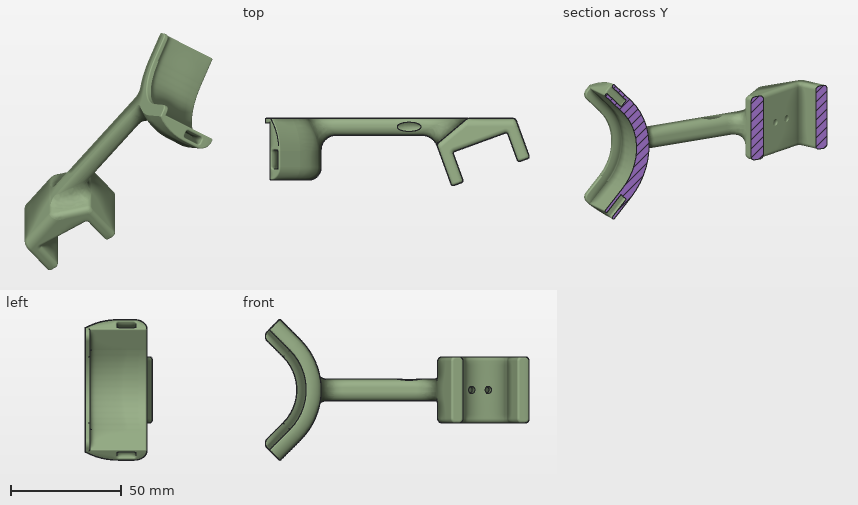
import cadquery as cq
import math


cradle_x = -6.9
cradle_outer_r = 32.2
cradle_inner_r = 25.4
cradle_width = 28.0
cradle_half_angle = 45
leg_length = 13.1
lip_inner_r = 21.1
lip_width = 2.3
lip_end_radius = 3.0
cradle_edge_radius = 0.6
crown_start = 15.0
crown_drop = 5.3
front_corner_radius = 5.8
inner_edge_radius = 0.8

handle_height = 9.9
handle_depth = 7.8
handle_corner_radius = 3.9
handle_back_round = 3.2
handle_embed = 1.2
handle_split_x = 47.7
handle_end_x = 95.5
cradle_flare_radius = 6.6
clamp_flare_radius = 7.3
shoulder_overrun = 9.5

clamp_height = 30.0
clamp_angle = 20
clamp_corner_x = 113.1
clamp_width = 37.6
clamp_arm_thickness = 5.7
clamp_arm_length = 19.1
clamp_floor_depth = 4.8
clamp_near_rise = 1.1
clamp_slope_top_x = 91.5
clamp_back_radius = 3.8
clamp_slope_radius = 2.6
clamp_edge_radius = 1.9
clamp_tip_radius = 1.1
clamp_floor_radius = 1.0

hole_diameter = 3.1
hole_depth = 3.6
hole_spacing = 8.0

leg_pocket_length = 8.5
leg_pocket_width = 3.7
leg_pocket_corner_radius = 1.1
leg_pocket_depth = 10.7
leg_pocket_y = -18.7
pocket_mouth_radius = 0.7
handle_pocket_length = 10.7
handle_pocket_width = 4.3
handle_pocket_x = 65.0
handle_pocket_y = -3.9


def edge_at(body, point):
    """The edge of the body whose middle lies nearest to the point."""
    return body.edges(cq.selectors.NearestToPointSelector(point)).val()


def cradle_section():
    """Band section in the XY plane: X is the distance from the arc axis."""
    crown_radius = (crown_start**2 + crown_drop**2) / (2 * crown_drop)
    mid_y = crown_start / 2
    mid_r = cradle_outer_r - crown_radius + math.sqrt(crown_radius**2 - mid_y**2)
    corner = front_corner_radius
    corner_mid = corner * (1 - math.sqrt(0.5))
    edge = inner_edge_radius
    edge_mid = edge * (1 - math.sqrt(0.5))
    front_y = -cradle_width
    return (
        cq.Workplane("XY")
        .moveTo(lip_inner_r, 0)
        .lineTo(cradle_outer_r - crown_drop, 0)
        .threePointArc((mid_r, mid_y - crown_start), (cradle_outer_r, -crown_start))
        .lineTo(cradle_outer_r, front_y + corner)
        .threePointArc(
            (cradle_outer_r - corner_mid, front_y + corner_mid),
            (cradle_outer_r - corner, front_y),
        )
        .lineTo(cradle_inner_r + edge, front_y)
        .threePointArc(
            (cradle_inner_r + edge_mid, front_y + edge_mid),
            (cradle_inner_r, front_y + edge),
        )
        .lineTo(cradle_inner_r, -lip_width)
        .lineTo(lip_inner_r, -lip_width)
        .close()
    )


def make_leg():
    """Straight leg standing along Z on the band section, with a pocket in its rounded end."""
    leg = cradle_section().extrude(leg_length)
    leg = leg.newObject([edge_at(leg, (lip_inner_r, -lip_width / 2, leg_length))]).fillet(lip_end_radius)
    rounded = [edge_at(leg, (lip_inner_r, y, leg_length / 2)) for y in (0, -lip_width)]
    rounded += leg.faces(">Z").edges().vals()
    leg = leg.newObject(rounded).fillet(cradle_edge_radius)
    mid_r = (cradle_inner_r + cradle_outer_r) / 2
    pocket = (
        cq.Workplane("XY", origin=(mid_r, leg_pocket_y, leg_length))
        .rect(leg_pocket_width, leg_pocket_length)
        .extrude(-leg_pocket_depth)
        .edges("|Z")
        .fillet(leg_pocket_corner_radius)
    )
    leg = leg.cut(pocket)
    mouth = leg.faces(">Z").val().innerWires()[0]
    return leg.newObject(mouth.Edges()).fillet(pocket_mouth_radius)


def make_cradle():
    arc = cradle_section().revolve(2 * cradle_half_angle, (0, 0), (0, 1))
    turn = math.radians(cradle_half_angle)
    lip_x = lip_inner_r * math.cos(turn)
    lip_z = -lip_inner_r * math.sin(turn)
    lip_edges = [edge_at(arc, (lip_x, y, lip_z)) for y in (0, -lip_width)]
    arc = arc.newObject(lip_edges).fillet(cradle_edge_radius)
    arc = arc.rotate((0, 0, 0), (0, 1, 0), -cradle_half_angle)
    leg = make_leg().rotate((0, 0, 0), (0, 1, 0), -cradle_half_angle)
    return arc.union(leg).union(leg.mirror("XY")).translate((cradle_x, 0, 0))


def make_bar(x_start, x_end):
    """Handle bar with four equal rounded corners, still reaching past the flat back."""
    overhang = handle_corner_radius - handle_back_round
    bar = cq.Workplane("XY").box(
        x_end - x_start, handle_depth + overhang, handle_height, centered=(False, False, True)
    )
    return bar.edges("|X").fillet(handle_corner_radius).translate((x_start, -handle_depth, 0))


def trim_back(body):
    """Remove everything behind the plane Y = 0."""
    size = 2 * clamp_corner_x
    return body.cut(cq.Workplane("XY").box(size, size, size).translate((0, size / 2, 0)))


def clamp_point(across, along):
    """Point measured from the clamp's far back corner: across both arms, and along the arms."""
    angle = math.radians(clamp_angle)
    x = clamp_corner_x - across * math.cos(angle) + along * math.sin(angle)
    y = -across * math.sin(angle) - along * math.cos(angle)
    return (x, y)


def fillet_rims(body, sides, radius):
    """Fillet the top and bottom edges over the given sides of the clamp outline."""
    edges = []
    for start, end in sides:
        middle_x = (start[0] + end[0]) / 2
        middle_y = (start[1] + end[1]) / 2
        for z in (-clamp_height / 2, clamp_height / 2):
            edges.append(edge_at(body, (middle_x, middle_y, z)))
    return body.newObject(edges).fillet(radius)


def fillet_upright(body, corner, radius):
    return body.newObject([edge_at(body, corner + (0,))]).fillet(radius)


def make_clamp():
    near_inner = clamp_width - clamp_arm_thickness
    far_heel = clamp_point(0, 0)
    far_tip_outer = clamp_point(0, clamp_arm_length)
    far_tip_inner = clamp_point(clamp_arm_thickness, clamp_arm_length)
    far_root = clamp_point(clamp_arm_thickness, clamp_floor_depth)
    near_root = clamp_point(near_inner, clamp_floor_depth)
    near_tip_inner = clamp_point(near_inner, clamp_arm_length)
    near_tip_outer = clamp_point(clamp_width, clamp_arm_length)
    near_heel = clamp_point(clamp_width, -clamp_near_rise)
    slope_top = (clamp_slope_top_x, 0)
    outline = [
        far_heel, far_tip_outer, far_tip_inner, far_root, near_root,
        near_tip_inner, near_tip_outer, near_heel, slope_top,
    ]
    clamp = cq.Workplane("XY").polyline(outline).close().extrude(clamp_height / 2, both=True)

    clamp = fillet_rims(clamp, [(slope_top, far_heel)], clamp_back_radius)
    clamp = fillet_rims(clamp, [(near_heel, slope_top)], clamp_slope_radius)

    for root in (far_root, near_root):
        clamp = fillet_upright(clamp, root, clamp_floor_radius)
    arm_sides = [
        (far_heel, far_tip_outer),
        (far_tip_inner, far_root),
        (far_root, near_root),
        (near_root, near_tip_inner),
        (near_tip_outer, near_heel),
    ]
    clamp = fillet_rims(clamp, arm_sides, clamp_edge_radius)

    for across in (clamp_arm_thickness / 2, clamp_width - clamp_arm_thickness / 2):
        middle = clamp_point(across, clamp_arm_length) + (0,)
        tip_face = clamp.faces(cq.selectors.NearestToPointSelector(middle))
        clamp = tip_face.edges().fillet(clamp_tip_radius)
    return clamp


def make_screw_holes():
    """Cutters reaching from the clamp floor into the solid behind it."""
    angle = math.radians(clamp_angle)
    into_floor = cq.Vector(-math.sin(angle), math.cos(angle), 0)
    holes = cq.Workplane("XY")
    for side in (-1, 1):
        x, y = clamp_point((clamp_width + side * hole_spacing) / 2, clamp_floor_depth)
        hole = cq.Solid.makeCylinder(hole_diameter / 2, hole_depth, cq.Vector(x, y, 0), into_floor)
        holes = holes.add(hole)
    return holes


def make_handle_pocket():
    """Ellipsoid with its long axis along X, half sunk into the top of the handle."""
    half_length = handle_pocket_length / 2
    return (
        cq.Workplane("XY")
        .ellipseArc(half_length, handle_pocket_width / 2, 0, 180, startAtCurrent=False)
        .close()
        .revolve(360, (0, 0), (1, 0))
        .translate((handle_pocket_x, handle_pocket_y, handle_height / 2))
    )


def blend_seam(body, x_min, x_max, radius):
    """Fillet the edges where the handle meets an end part, leaving the flat back sharp."""
    margin = 0.1
    reach = handle_height / 2 + margin
    seam = []
    for edge in body.edges().vals():
        box = edge.BoundingBox()
        in_span = x_min + margin < box.xmin and box.xmax < x_max
        in_handle = -reach < box.zmin and box.zmax < reach
        if in_span and in_handle and box.ymin < -margin:
            seam.append(edge)
    return body.newObject(seam).fillet(radius)


def make_cradle_half():
    """Cradle with the near half of the handle flared into it."""
    crest_x = cradle_x + cradle_outer_r
    bar_start_x = crest_x - crown_drop - handle_embed
    body = make_cradle().union(trim_back(make_bar(bar_start_x, handle_split_x)))
    return blend_seam(body, bar_start_x, crest_x, cradle_flare_radius)


def make_clamp_half():
    """Clamp with the far half of the handle flared into its sloping side.

    The flare is formed on a plain block that shares the clamp's slope and reaches past the back
    plane, then trimmed and joined to the clamp.
    """
    corner = clamp_point(clamp_width, -clamp_near_rise)
    slope = (clamp_slope_top_x - corner[0]) / -corner[1]
    overrun_x = clamp_slope_top_x + slope * shoulder_overrun
    block_end_x = clamp_corner_x - clamp_edge_radius
    shoulder = (
        cq.Workplane("XY")
        .polyline([
            clamp_point(clamp_width, clamp_floor_depth),
            corner,
            (overrun_x, shoulder_overrun),
            (block_end_x, shoulder_overrun),
            (block_end_x, -clamp_edge_radius),
        ])
        .close()
        .extrude(clamp_height / 2 - clamp_slope_radius, both=True)
    )
    shoulder = shoulder.newObject([edge_at(shoulder, corner + (0,))]).fillet(clamp_edge_radius)
    body = shoulder.union(make_bar(handle_split_x, handle_end_x))
    body = blend_seam(body, handle_split_x, overrun_x, clamp_flare_radius)
    return trim_back(body.cut(shoulder)).union(make_clamp())


body = make_cradle_half().union(make_clamp_half())
body = body.cut(make_handle_pocket())
result = body.cut(make_screw_holes())